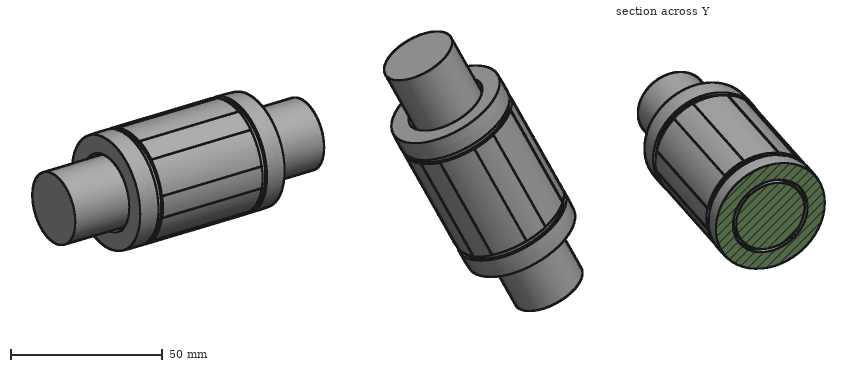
import cadquery as cq

shaft_length = 100
shaft_diameter = 25
sleeve_length = 58
sleeve_diameter = 40

bore_diameter = 27
bore_depth = 3.6

groove_diameter = 38
groove_width = 1.8
middle_length = 40

middle_diameter = 39.7
strip_diameter = sleeve_diameter
strip_count = 6
strip_width = 8

taper_end_diameter = 39.7
taper_length = 3.6


def revolved_body():
    """Shaft and sleeve without the strips, turned about Y."""
    shaft_end = shaft_length / 2
    sleeve_end = sleeve_length / 2
    bore_floor = sleeve_end - bore_depth
    middle_end = middle_length / 2
    steps = [
        (middle_diameter, middle_end),
        (groove_diameter, middle_end),
        (groove_diameter, middle_end + groove_width),
        (sleeve_diameter, middle_end + groove_width),
        (sleeve_diameter, sleeve_end - taper_length),
        (taper_end_diameter, sleeve_end),
        (bore_diameter, sleeve_end),
        (bore_diameter, bore_floor),
        (shaft_diameter, bore_floor),
        (shaft_diameter, shaft_end),
        (0, shaft_end),
    ]
    upper = [(diameter / 2, y) for diameter, y in steps]
    lower = [(radius, -y) for radius, y in reversed(upper)]
    outline = cq.Workplane("XY").polyline(lower + upper).close()
    return outline.revolve(360, (0, 0), (0, 1))


def raised_strip():
    """Straight-walled strip with a rounded top, on the +X side."""
    bar = cq.Workplane("XY").box(sleeve_diameter / 2, middle_length, strip_width)
    bar = bar.translate((sleeve_diameter / 4, 0, 0))
    envelope = cq.Workplane("XZ").circle(strip_diameter / 2).extrude(middle_length / 2, both=True)
    return bar.intersect(envelope)


result = revolved_body()
for index in range(strip_count):
    angle = index * 360 / strip_count
    result = result.union(raised_strip().rotate((0, 0, 0), (0, 1, 0), angle))